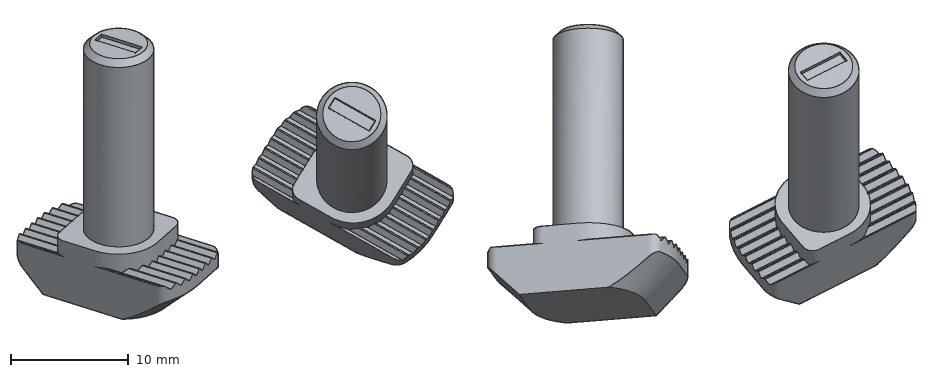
import cadquery as cq
import math

total_height = 24.5
shank_diameter = 6.0
shank_chamfer = 0.55
slot_length = 4.02
slot_width = 1.08
slot_depth = 0.3

head_length = 16.0
head_width = 8.0
head_center_y = -0.15
head_height = 4.5
head_taper = 3.0
neck_length = head_length / 2
neck_height = 6.0
corner_radius = 1.0
neck_turn_radius = 3.87
head_turn_radius = 7.5

tooth_pitch = 1.0
tooth_crest = 0.12
tooth_depth = (tooth_pitch - tooth_crest) / 2
groove_count = 10


def head_outline(length, turn_radius):
    """Rectangle with an arc through the -X+Y corner and its opposite.

    Each arc is tangent to the end and stops at the long side. Its center lies
    neck_turn_radius below that side.
    """
    half_length = length / 2
    half_width = head_width / 2
    center_x = turn_radius - half_length
    center_y = half_width - neck_turn_radius
    sweep = math.asin(neck_turn_radius / turn_radius)
    arc_end_x = center_x - turn_radius * math.cos(sweep)
    arc_mid_x = center_x - turn_radius * math.cos(sweep / 2)
    arc_mid_y = center_y + turn_radius * math.sin(sweep / 2)
    return (
        cq.Workplane("XY")
        .moveTo(-half_length, -half_width)
        .lineTo(-half_length, center_y)
        .threePointArc((arc_mid_x, arc_mid_y), (arc_end_x, half_width))
        .lineTo(half_length, half_width)
        .lineTo(half_length, -center_y)
        .threePointArc((-arc_mid_x, -arc_mid_y), (-arc_end_x, -half_width))
        .close()
    )


def make_head():
    prism = head_outline(head_length, head_turn_radius).extrude(head_height)
    tapered = prism.faces("<Z").edges("not(|X)").chamfer(head_taper)
    rounded = prism.edges("|Z").edges("<Y or >Y").fillet(corner_radius)
    return tapered.intersect(rounded)


def make_neck():
    neck = head_outline(neck_length, neck_turn_radius).extrude(neck_height)
    return neck.edges("|Z").edges(">(1, 1, 0) or <(1, 1, 0)").fillet(corner_radius)


def make_grooves():
    grooves = cq.Workplane("YZ", origin=(-head_length / 2, 0, 0))
    for index in range(groove_count):
        y = (index - (groove_count - 1) / 2) * tooth_pitch
        grooves = (
            grooves.moveTo(y - tooth_depth, head_height)
            .lineTo(y, head_height - tooth_depth)
            .lineTo(y + tooth_depth, head_height)
            .close()
        )
    return grooves.extrude(head_length)


def make_shank():
    shank = cq.Workplane("XY").circle(shank_diameter / 2).extrude(total_height)
    shank = shank.faces(">Z").chamfer(shank_chamfer)
    slot = (
        cq.Workplane("XY", origin=(0, 0, total_height - slot_depth))
        .rect(slot_length, slot_width)
        .extrude(slot_depth)
    )
    return shank.cut(slot)


head_offset = (0, head_center_y, 0)
head = make_head().translate(head_offset).cut(make_grooves())
neck = make_neck().translate(head_offset)
result = head.union(neck).union(make_shank())